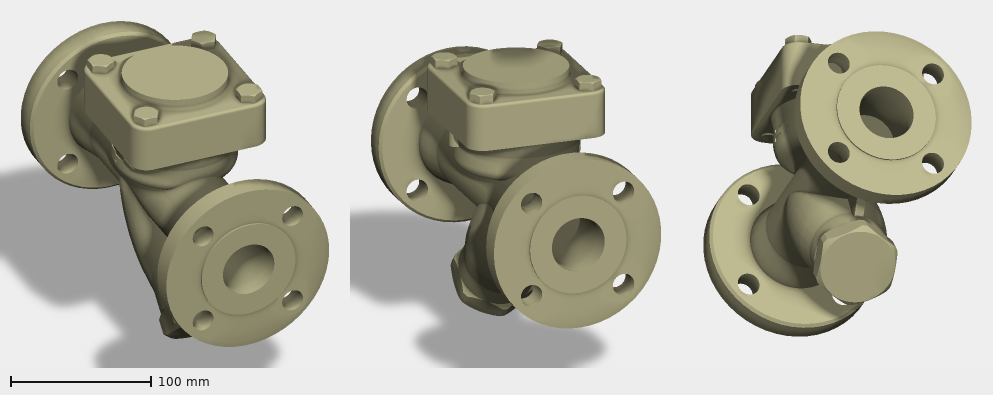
import cadquery as cq
import math


length = 260.0
pipe_dia = 58.0
bore_dia = 40.0
bore_depth = 52.0
flange_dia = 127.0
flange_thickness = 18.2
flange_chamfer = 2.0
raised_face_dia = 73.0
raised_face_height = 1.5
hub_dia = 67.5
hub_length = 25.5
flange_hole_dia = 16.0
flange_hole_offset = 34.8

bowl_dia = 90.0
bowl_bottom_z = 18.0
bowl_round = 8.8
bowl_taper_z = 37.7
bowl_top_dia = 96.2

arrow_height = 0.8
arrow_z = 32.8
arrow_tail_x = -20.0
arrow_tail_end_x = -1.5
arrow_head_x = 10.7
arrow_tip_x = 20.0
arrow_half_width = 4.7
arrow_shaft_half_width = 2.0
arrow_notch = 3.0

boss_dia = 10.0
boss_outer_y = 50.7

square_side = 104.5
square_corner_radius = 12.7
square_bottom_z = 50.0
split_z = 66.3
cover_top_z = 84.2
cover_edge_round = 2.0
disc_dia = 76.0
disc_top_z = 92.3
disc_root_round = 2.5

bolt_offset = 40.0
bolt_dia = 10.0
bolt_tip_length = 1.3
bolt_head_flats = 17.0
bolt_head_height = 6.5
bolt_head_chamfer = 0.8

branch_x = -34.0
branch_tilt = 45.0
branch_start_radius = 27.5
branch_bulge_radius = 33.0
branch_bulge_at = 49.5
neck_dia = 56.0
neck_start = 90.5
neck_end = 106.5
plug_end = 124.5
plug_flats = 55.0
plug_corner_dia = 61.4
plug_face_dia = 54.0
plug_chamfer_length = 3.6

rib_thickness = 6.5
rib_left_x = -70.5
rib_arc_middle = (-39.8, -45.5)
rib_arc_end = (-1.5, -75.0)
rib_right_end = (57.2, -49.5)
rib_right_x = 69.5


def square_block(bottom_z, top_z):
    return (
        cq.Workplane("XY", origin=(0, 0, bottom_z))
        .rect(square_side, square_side)
        .extrude(top_z - bottom_z)
        .edges("|Z")
        .fillet(square_corner_radius)
    )


def hex_prism(across_flats, height):
    across_corners = across_flats / math.cos(math.radians(30))
    return cq.Workplane("XY").polygon(6, across_corners).extrude(height)


def chamfered_hex(across_flats, corner_dia, face_dia, chamfer_length, height, both_ends):
    """Hexagon along Z from z = 0, with its corners turned down by a round envelope."""
    start_dia = face_dia if both_ends else corner_dia
    envelope = (
        cq.Workplane("XZ")
        .moveTo(0, 0)
        .lineTo(start_dia / 2, 0)
        .lineTo(corner_dia / 2, chamfer_length)
        .lineTo(corner_dia / 2, height - chamfer_length)
        .lineTo(face_dia / 2, height)
        .lineTo(0, height)
        .close()
        .revolve(360, (0, 0), (0, 1))
    )
    return hex_prism(across_flats, height).intersect(envelope)


def pipe_with_flanges():
    """Left half revolved about X, then mirrored."""
    face_x = -length / 2
    rim_x = face_x + raised_face_height
    back_x = rim_x + flange_thickness
    half = (
        cq.Workplane("XY")
        .moveTo(face_x, 0)
        .lineTo(face_x, raised_face_dia / 2)
        .lineTo(rim_x, raised_face_dia / 2)
        .lineTo(rim_x, flange_dia / 2)
        .lineTo(back_x - flange_chamfer, flange_dia / 2)
        .lineTo(back_x, flange_dia / 2 - flange_chamfer)
        .lineTo(back_x, hub_dia / 2)
        .lineTo(back_x + hub_length, pipe_dia / 2)
        .lineTo(0, pipe_dia / 2)
        .lineTo(0, 0)
        .close()
        .revolve(360, (0, 0), (1, 0))
    )
    return half.union(half.mirror("YZ"))


def flange_holes():
    spacing = 2 * flange_hole_offset
    drill_length = flange_thickness + 2 * raised_face_height
    left = (
        cq.Workplane("YZ", origin=(-length / 2, 0, 0))
        .rarray(spacing, spacing, 2, 2)
        .circle(flange_hole_dia / 2)
        .extrude(drill_length)
    )
    return left.union(left.mirror("YZ"))


def end_bores():
    left = cq.Workplane("YZ", origin=(-length / 2, 0, 0)).circle(bore_dia / 2).extrude(bore_depth)
    return left.union(left.mirror("YZ"))


def bowl():
    radius = bowl_dia / 2
    round_middle = bowl_round * (1 - math.sqrt(0.5))
    return (
        cq.Workplane("XZ")
        .moveTo(0, bowl_bottom_z)
        .lineTo(radius - bowl_round, bowl_bottom_z)
        .threePointArc(
            (radius - round_middle, bowl_bottom_z + round_middle),
            (radius, bowl_bottom_z + bowl_round),
        )
        .lineTo(radius, bowl_taper_z)
        .lineTo(bowl_top_dia / 2, square_bottom_z)
        .lineTo(0, square_bottom_z)
        .close()
        .revolve(360, (0, 0), (0, 1))
    )


def bowl_boss():
    return (
        cq.Workplane("XY", origin=(0, boss_outer_y - boss_dia / 2, bowl_taper_z))
        .circle(boss_dia / 2)
        .extrude(square_bottom_z - bowl_taper_z)
    )


def flow_arrow():
    upper = [
        (arrow_tail_x, arrow_half_width),
        (arrow_tail_end_x, arrow_half_width),
        (arrow_tail_end_x, arrow_shaft_half_width),
        (arrow_head_x, arrow_shaft_half_width),
        (arrow_head_x, arrow_half_width),
    ]
    lower = [(x, -z) for x, z in reversed(upper)]
    outline = upper + [(arrow_tip_x, 0)] + lower + [(arrow_tail_x + arrow_notch, 0)]
    prism = cq.Workplane("XZ", origin=(0, 0, arrow_z)).polyline(outline).close().extrude(bowl_dia)
    skin = (
        cq.Workplane("XY", origin=(0, 0, bowl_bottom_z))
        .circle(bowl_dia / 2 + arrow_height)
        .extrude(square_bottom_z - bowl_bottom_z)
    )
    return prism.intersect(skin)


def along_branch(shape):
    """Move a shape built along +Z from the origin onto the branch axis."""
    return shape.rotate((0, 0, 0), (0, 1, 0), 90 + branch_tilt).translate((branch_x, 0, 0))


def branch():
    """Barrel-shaped branch ending in a plain cylindrical neck."""
    neck_radius = neck_dia / 2
    barrel = (
        cq.Workplane("XZ")
        .moveTo(0, 0)
        .lineTo(branch_start_radius, 0)
        .threePointArc((branch_bulge_radius, branch_bulge_at), (neck_radius, neck_start))
        .lineTo(neck_radius, neck_end)
        .lineTo(0, neck_end)
        .close()
        .revolve(360, (0, 0), (0, 1))
    )
    return along_branch(barrel)


def branch_plug():
    plug = chamfered_hex(
        plug_flats, plug_corner_dia, plug_face_dia, plug_chamfer_length, plug_end - neck_end, True
    )
    return along_branch(plug.translate((0, 0, neck_end)))


def rib():
    pipe_bottom_z = -pipe_dia / 2
    return (
        cq.Workplane("XZ")
        .moveTo(rib_left_x, 0)
        .lineTo(rib_left_x, pipe_bottom_z)
        .threePointArc(rib_arc_middle, rib_arc_end)
        .lineTo(*rib_right_end)
        .lineTo(rib_right_x, pipe_bottom_z)
        .lineTo(rib_right_x, 0)
        .close()
        .extrude(rib_thickness / 2, both=True)
    )


def bolt_shanks(bottom_z, top_z):
    return (
        cq.Workplane("XY", origin=(0, 0, bottom_z))
        .rarray(2 * bolt_offset, 2 * bolt_offset, 2, 2)
        .circle(bolt_dia / 2)
        .extrude(top_z - bottom_z)
    )


def bolt_heads():
    """Four hexagon heads, each turned with its corner of the cover."""
    head = chamfered_hex(
        bolt_head_flats,
        bolt_head_flats / math.cos(math.radians(30)),
        bolt_head_flats - bolt_head_chamfer,
        bolt_head_chamfer,
        bolt_head_height,
        False,
    ).translate((bolt_offset, bolt_offset, cover_top_z))
    heads = cq.Workplane("XY")
    for quarter in range(4):
        heads = heads.add(head.rotate((0, 0, 0), (0, 0, 1), 90 * quarter))
    return heads.combine()


def cover_disc():
    """Raised disc with a concave round where it meets the cover."""
    radius = disc_dia / 2
    round_middle = disc_root_round * (1 - math.sqrt(0.5))
    return (
        cq.Workplane("XZ")
        .moveTo(0, cover_top_z)
        .lineTo(radius + disc_root_round, cover_top_z)
        .threePointArc(
            (radius + round_middle, cover_top_z + round_middle),
            (radius, cover_top_z + disc_root_round),
        )
        .lineTo(radius, disc_top_z)
        .lineTo(0, disc_top_z)
        .close()
        .revolve(360, (0, 0), (0, 1))
    )


def make_valve_body():
    body = pipe_with_flanges()
    for piece in (branch(), branch_plug(), rib(), bowl(), bowl_boss(), flow_arrow()):
        body = body.union(piece)
    body = body.union(square_block(square_bottom_z, split_z))
    bolt_hole_bottom = square_bottom_z - bolt_tip_length
    return body.cut(flange_holes()).cut(end_bores()).cut(bolt_shanks(bolt_hole_bottom, split_z))


def make_cover():
    """Cover with its raised disc and the four bolts that pass down through the body."""
    plate = square_block(split_z, cover_top_z).faces(">Z").edges().fillet(cover_edge_round)
    shanks = bolt_shanks(square_bottom_z - bolt_tip_length, cover_top_z)
    return plate.union(cover_disc()).union(bolt_heads()).union(shanks)


valve_body = make_valve_body()
cover = make_cover()

result = cq.Compound.makeCompound([valve_body.val(), cover.val()])